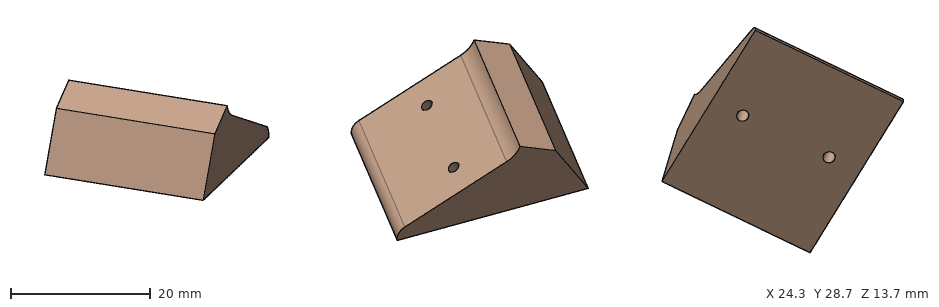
import cadquery as cq
import math

width = 24.02
front_height = 9.68
peak_u = 3.55
peak_v = 14.12
top_v = 13.02
hollow_end_u = 6.5
round_start_u = 24.0
rear_u = 26.13
base_slope = 23.9

hole_diameter = 1.7
hole_spacing = 14.0
hole_u = 13.95

pitch = -30.0
roll = 0.5
yaw = 0.5


def tangent_arc_middle(start, end):
    """Middle point of the arc that leaves start tangent to the top face and reaches end."""
    du = end[0] - start[0]
    dv = end[1] - start[1]
    radius = (du ** 2 + dv ** 2) / (2 * dv)
    half_sweep = math.atan2(dv, abs(du))
    return (
        start[0] + math.copysign(1, du) * radius * math.sin(half_sweep),
        start[1] + radius * (1 - math.cos(half_sweep)),
    )


def wedge_body():
    peak = (peak_u, peak_v)
    hollow_end = (hollow_end_u, top_v)
    round_start = (round_start_u, top_v)
    rear = (rear_u, rear_u * math.tan(math.radians(base_slope)))
    return (
        cq.Workplane("YZ")
        .moveTo(0, 0)
        .lineTo(0, front_height)
        .lineTo(*peak)
        .threePointArc(tangent_arc_middle(hollow_end, peak), hollow_end)
        .lineTo(*round_start)
        .threePointArc(tangent_arc_middle(round_start, rear), rear)
        .close()
        .extrude(width / 2, both=True)
    )


def through_holes():
    return (
        cq.Workplane("XY")
        .pushPoints([(-hole_spacing / 2, hole_u), (hole_spacing / 2, hole_u)])
        .circle(hole_diameter / 2)
        .extrude(peak_v)
    )


def set_attitude(body):
    origin = (0, 0, 0)
    return (
        body.rotate(origin, (1, 0, 0), pitch)
        .rotate(origin, (0, 1, 0), roll)
        .rotate(origin, (0, 0, 1), yaw)
    )


result = set_attitude(wedge_body().cut(through_holes()))